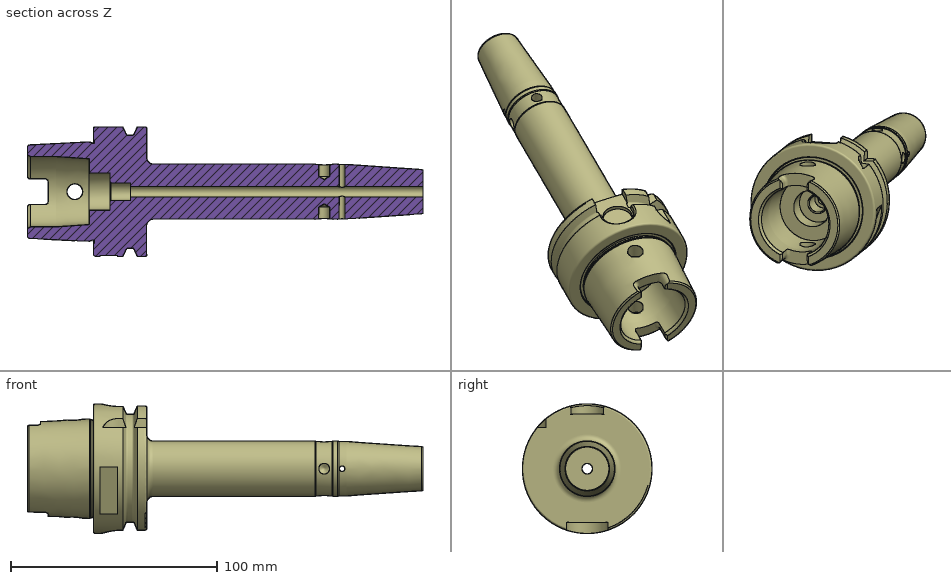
import cadquery as cq
import math

shank_length = 32.0
gauge_length = 160.0

taper_gauge_radius = 24.0
taper_gauge_x = -6.3
taper_slope = 0.05
shank_end_chamfer = 0.7
relief_start_x = -1.9
relief_step_radius = 23.9
relief_radius = 23.6
relief_ramp = 0.6
relief_face_depth = 0.4
relief_outer_radius = 25.4

flange_radius = 31.5
flange_length = 26.0
flange_edge_fillet = 1.0
groove_floor_radius = 27.5
groove_left_x = 14.3
groove_floor_left_x = 16.2
groove_floor_right_x = 19.5
groove_right_x = 21.3
groove_floor_fillet = 0.8

body_radius = 13.5
body_fillet = 3.0
recess_depth = 0.2
recess_ramp = 0.6
first_recess_x = 107.5
collar_left_x = 116.4
collar_right_x = 118.5
nose_start_x = 123.0
nose_radius = 10.8
nose_end_chamfer_length = 0.7
nose_end_chamfer_depth = 0.3

socket_radius = 17.0
socket_mouth_radius = 18.1
socket_mouth_chamfer = 0.5
socket_lead_in_radius = socket_mouth_radius - socket_mouth_chamfer
socket_lead_in_angle = 30.0
socket_straight_length = 14.0
socket_floor_radius = 15.9
socket_floor_x = -2.0
thread_radius = 9.0
thread_depth = 10.0
coolant_radius = 2.5
stop_bore_radius = 4.2
stop_bore_chamfer = 0.6
stop_bore_depth = 10.0

drive_slot_half_width = 6.2
drive_slot_depth_top = 6.3
drive_slot_depth_bottom = 10.0
drive_slot_floor_fillet = 1.5
drive_slot_edge_radius = 3.1
drive_slot_edge_z = 21.2
drive_slot_mouth_chamfer = 0.9

cross_hole_radius = 3.75
cross_hole_x = -9.0

top_slot_half_width = 8.0
top_slot_center_x = 12.8
top_slot_rim_chamfer = 0.9
top_slot_floor_z = 26.5
top_recess_radius = 7.2
top_recess_floor_z = 24.5
bottom_slot_half_width = 10.0
bottom_slot_center_x = 14.0
bottom_slot_floor_z = 26.0

notch_offset = 20.0
notch_end_radius = 8.5
notch_center_x = 12.0

flat_left_x = 3.3
flat_right_x = 11.6
flat_distance = 29.0
flat_tilt = 21.5

balance_hole_radius = 2.6
balance_hole_x = 112.0
balance_hole_depth = 6.0
drill_point_angle = 118.0
vent_hole_radius = 1.3
vent_hole_x = 120.7

selection_margin = 0.1


def taper_radius(x):
    return taper_gauge_radius + taper_slope * (x - taper_gauge_x)


def revolved(sketch):
    return sketch.close().revolve(360, (0, 0, 0), (1, 0, 0))


def shank():
    end_x = -shank_length
    profile = (
        cq.Workplane("XY")
        .moveTo(end_x, 0)
        .lineTo(end_x, taper_radius(end_x) - shank_end_chamfer)
        .lineTo(end_x + shank_end_chamfer, taper_radius(end_x + shank_end_chamfer))
        .lineTo(relief_start_x, taper_radius(relief_start_x))
        .lineTo(relief_start_x + relief_ramp, relief_step_radius)
        .lineTo(relief_start_x + 2 * relief_ramp, relief_step_radius)
        .lineTo(relief_start_x + 2 * relief_ramp, relief_radius)
        .lineTo(relief_face_depth, relief_radius)
        .lineTo(relief_face_depth, 0)
    )
    return revolved(profile)


def ring_edges(part, x):
    """Pick the circular edges centred on the X axis at one X position."""
    corner = cq.Vector(selection_margin, selection_margin, selection_margin)
    center = cq.Vector(x, 0, 0)
    window = cq.selectors.BoxSelector((center - corner).toTuple(), (center + corner).toTuple())
    return part.edges(window)


def flange():
    profile = (
        cq.Workplane("XY")
        .lineTo(0, flange_radius)
        .lineTo(groove_left_x, flange_radius)
        .lineTo(groove_floor_left_x, groove_floor_radius)
        .lineTo(groove_floor_right_x, groove_floor_radius)
        .lineTo(groove_right_x, flange_radius)
        .lineTo(flange_length, flange_radius)
        .lineTo(flange_length, 0)
    )
    disc = revolved(profile)
    for x in (0, flange_length):
        disc = ring_edges(disc, x).fillet(flange_edge_fillet)
    for x in (groove_floor_left_x, groove_floor_right_x):
        disc = ring_edges(disc, x).fillet(groove_floor_fillet)
    face_relief = revolved(
        cq.Workplane("XY")
        .lineTo(0, relief_outer_radius)
        .lineTo(relief_face_depth, relief_outer_radius - relief_face_depth)
        .lineTo(relief_face_depth, 0)
    )
    return disc.cut(face_relief)


def clamping_body():
    recess_radius = body_radius - recess_depth
    profile = (
        cq.Workplane("XY")
        .moveTo(flange_length, 0)
        .lineTo(flange_length, body_radius + body_fillet)
        .radiusArc((flange_length + body_fillet, body_radius), -body_fillet)
        .lineTo(first_recess_x, body_radius)
        .lineTo(first_recess_x + recess_ramp, recess_radius)
        .lineTo(collar_left_x - recess_ramp, recess_radius)
        .lineTo(collar_left_x, body_radius)
        .lineTo(collar_right_x, body_radius)
        .lineTo(collar_right_x + recess_ramp, recess_radius)
        .lineTo(nose_start_x, recess_radius)
        .lineTo(gauge_length - nose_end_chamfer_length, nose_radius)
        .lineTo(gauge_length, nose_radius - nose_end_chamfer_depth)
        .lineTo(gauge_length, 0)
    )
    return revolved(profile)


def inner_bore():
    lead_in_slope = math.tan(math.radians(socket_lead_in_angle))
    lead_in_start_x = socket_mouth_chamfer - shank_length
    lead_in_end_x = lead_in_start_x + (socket_lead_in_radius - socket_radius) / lead_in_slope
    thread_end_x = socket_floor_x + thread_depth
    stop_bore_end_x = thread_end_x + stop_bore_depth
    profile = (
        cq.Workplane("XY")
        .moveTo(-shank_length, 0)
        .lineTo(-shank_length, socket_mouth_radius)
        .lineTo(lead_in_start_x, socket_lead_in_radius)
        .lineTo(lead_in_end_x, socket_radius)
        .lineTo(socket_straight_length - shank_length, socket_radius)
        .lineTo(socket_floor_x, socket_floor_radius)
        .lineTo(socket_floor_x, thread_radius)
        .lineTo(thread_end_x, thread_radius)
        .lineTo(thread_end_x, stop_bore_radius + stop_bore_chamfer)
        .lineTo(thread_end_x + stop_bore_chamfer, stop_bore_radius)
        .lineTo(stop_bore_end_x, stop_bore_radius)
        .lineTo(stop_bore_end_x, coolant_radius)
        .lineTo(gauge_length, coolant_radius)
        .lineTo(gauge_length, 0)
    )
    return revolved(profile)


def drive_slot(depth):
    """Slot at +Z: its outer edges are rounded along X, its floor is filleted, its mouth chamfered."""
    edge_y = drive_slot_half_width + drive_slot_edge_radius
    edge_center_z = drive_slot_edge_z - drive_slot_edge_radius
    slot = (
        cq.Workplane("YZ", origin=(-shank_length, 0, 0))
        .moveTo(-drive_slot_half_width, 0)
        .lineTo(-drive_slot_half_width, edge_center_z)
        .radiusArc((-edge_y, drive_slot_edge_z), -drive_slot_edge_radius)
        .lineTo(-edge_y, flange_radius)
        .lineTo(edge_y, flange_radius)
        .lineTo(edge_y, drive_slot_edge_z)
        .radiusArc((drive_slot_half_width, edge_center_z), -drive_slot_edge_radius)
        .lineTo(drive_slot_half_width, 0)
        .close()
        .extrude(depth)
    )
    slot = slot.faces(">X").edges("not(<Z or >Z)").fillet(drive_slot_floor_fillet)
    mouth_half_width = drive_slot_half_width + drive_slot_mouth_chamfer
    mouth = (
        cq.Workplane("XY")
        .moveTo(-shank_length, -mouth_half_width)
        .lineTo(drive_slot_mouth_chamfer - shank_length, -drive_slot_half_width)
        .lineTo(drive_slot_mouth_chamfer - shank_length, drive_slot_half_width)
        .lineTo(-shank_length, mouth_half_width)
        .close()
        .extrude(flange_radius)
    )
    return slot.union(mouth)


def cut_drive_slots(part):
    bottom_slot = drive_slot(drive_slot_depth_bottom).rotate((0, 0, 0), (1, 0, 0), 180)
    return part.cut(drive_slot(drive_slot_depth_top)).cut(bottom_slot)


def cut_cross_hole(part):
    hole = (
        cq.Workplane("XY")
        .center(cross_hole_x, 0)
        .circle(cross_hole_radius)
        .extrude(flange_radius, both=True)
    )
    return part.cut(hole)


def flange_slot(half_width, center_x, floor_z):
    """Round-ended slot at +Z, open at the back face of the flange."""
    length = flange_length - center_x
    base = cq.Workplane("XY", origin=(center_x, 0, floor_z))
    run = base.center(length / 2, 0).rect(length, 2 * half_width).extrude(flange_radius)
    return base.circle(half_width).extrude(flange_radius).union(run)


def chamfer_top_slot_rim(part):
    """Chamfer the slot edge on the flange rim, from the round end up to the gripper groove."""
    reach = top_slot_half_width + selection_margin
    lowest_rim_z = math.sqrt(flange_radius**2 - top_slot_half_width**2)
    rim = cq.selectors.BoxSelector(
        (top_slot_center_x - reach, -reach, lowest_rim_z - selection_margin),
        (groove_left_x, reach, flange_radius + selection_margin),
    )
    return part.edges(rim).chamfer(top_slot_rim_chamfer)


def cut_flange_slots(part):
    top_slot = flange_slot(top_slot_half_width, top_slot_center_x, top_slot_floor_z)
    recess = (
        cq.Workplane("XY", origin=(top_slot_center_x, 0, top_recess_floor_z))
        .circle(top_recess_radius)
        .extrude(flange_radius)
    )
    bottom_slot = flange_slot(bottom_slot_half_width, bottom_slot_center_x, bottom_slot_floor_z)
    part = chamfer_top_slot_rim(part.cut(top_slot))
    return part.cut(recess).cut(bottom_slot.rotate((0, 0, 0), (1, 0, 0), 180))


def cut_corner_notch(part):
    center_y = -notch_offset - notch_end_radius
    notch = (
        cq.Workplane("XY", origin=(0, 0, notch_offset))
        .moveTo(flange_length, -notch_offset)
        .lineTo(notch_center_x, -notch_offset)
        .radiusArc((notch_center_x - notch_end_radius, center_y), -notch_end_radius)
        .lineTo(notch_center_x - notch_end_radius, -flange_radius)
        .lineTo(flange_length, -flange_radius)
        .close()
        .extrude(flange_radius)
    )
    return part.cut(notch)


def cut_tilted_flat(part):
    depth = flange_radius - flat_distance
    length = flat_right_x - flat_left_x
    center = ((flat_left_x + flat_right_x) / 2, -flat_distance - depth / 2, 0)
    block = cq.Workplane("XY").box(length, depth, 2 * flange_radius).translate(center)
    return part.cut(block.rotate((0, 0, 0), (1, 0, 0), flat_tilt))


def balance_hole():
    """Blind hole at +Z with a conical drill point."""
    point_length = balance_hole_radius / math.tan(math.radians(drill_point_angle / 2))
    shoulder_z = body_radius - balance_hole_depth
    return (
        cq.Workplane("XZ")
        .moveTo(0, shoulder_z - point_length)
        .lineTo(balance_hole_radius, shoulder_z)
        .lineTo(balance_hole_radius, body_radius)
        .lineTo(0, body_radius)
        .close()
        .revolve(360, (0, 0, 0), (0, 1, 0))
        .translate((balance_hole_x, 0, 0))
    )


def cut_body_holes(part):
    for quarter in range(4):
        part = part.cut(balance_hole().rotate((0, 0, 0), (1, 0, 0), 90 * quarter))
    vent = (
        cq.Workplane("XZ")
        .center(vent_hole_x, 0)
        .circle(vent_hole_radius)
        .extrude(body_radius, both=True)
    )
    return part.cut(vent)


flange_disc = cut_flange_slots(flange())
flange_disc = cut_corner_notch(flange_disc)
flange_disc = cut_tilted_flat(flange_disc)

result = shank().union(flange_disc).union(clamping_body()).cut(inner_bore())
result = cut_drive_slots(result)
result = cut_cross_hole(result)
result = cut_body_holes(result)